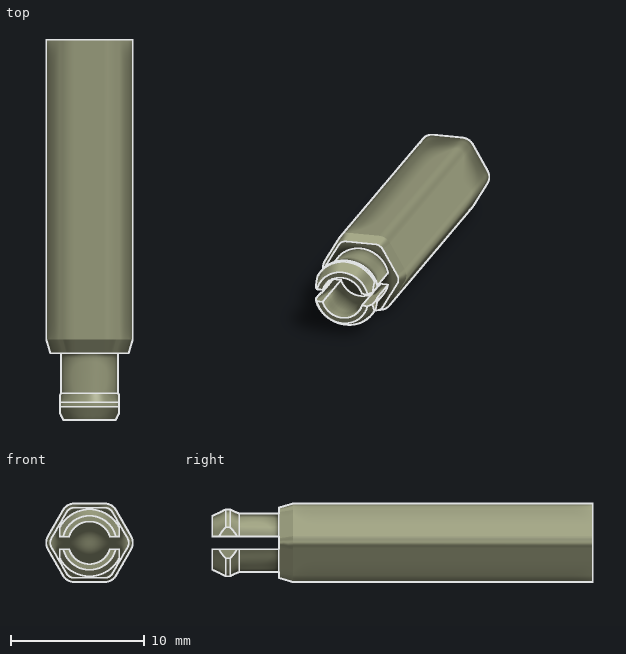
import cadquery as cq
import math

total_length = 28.55
across_flats = 5.9
corner_radius = 1.0
chamfer_length = 1.05
chamfer_inset = 0.3

pin_length = 5.0
neck_radius = 2.2
head_radius = 2.5
tip_radius = 2.03
bore_radius = 1.6
head_length = 2.03
rear_cone_length = 0.69
front_cone_length = 1.0
head_width = 4.45
slot_width = 0.95

front_y = -total_length / 2
back_y = total_length / 2
shoulder_y = front_y + pin_length


def rounded_hexagon(start_y):
    """Hexagon outline with rounded corners and flats facing up and down."""
    sharp_core_flats = across_flats - 2 * corner_radius
    sharp_core_corners = sharp_core_flats / math.cos(math.radians(30))
    return (
        cq.Workplane("XZ", origin=(0, start_y, 0))
        .polygon(6, sharp_core_corners)
        .offset2D(corner_radius, "arc")
    )


def make_body():
    """Straight hexagonal bar that tapers into the shoulder."""
    taper_start_y = shoulder_y + chamfer_length
    taper_angle = math.degrees(math.atan2(chamfer_inset, chamfer_length))
    bar = rounded_hexagon(back_y).extrude(back_y - taper_start_y)
    taper = rounded_hexagon(taper_start_y).extrude(chamfer_length, taper=taper_angle)
    return bar.union(taper)


def make_pin():
    """Hollow turned pin with a double-cone head, flattened sides and a slot."""
    head_start_y = front_y + head_length
    pin = (
        cq.Workplane("XY")
        .moveTo(bore_radius, shoulder_y)
        .lineTo(neck_radius, shoulder_y)
        .lineTo(neck_radius, head_start_y)
        .lineTo(head_radius, head_start_y - rear_cone_length)
        .lineTo(head_radius, front_y + front_cone_length)
        .lineTo(tip_radius, front_y)
        .lineTo(bore_radius, front_y)
        .close()
        .revolve(360, (0, 0, 0), (0, 1, 0))
    )
    pin_center_y = front_y + pin_length / 2
    side_limits = cq.Workplane("XY", origin=(0, pin_center_y, 0)).box(
        head_width, pin_length, 2 * head_radius
    )
    slot = cq.Workplane("XY", origin=(0, pin_center_y, 0)).box(
        2 * head_radius, pin_length, slot_width
    )
    return pin.intersect(side_limits).cut(slot)


result = make_body().union(make_pin())